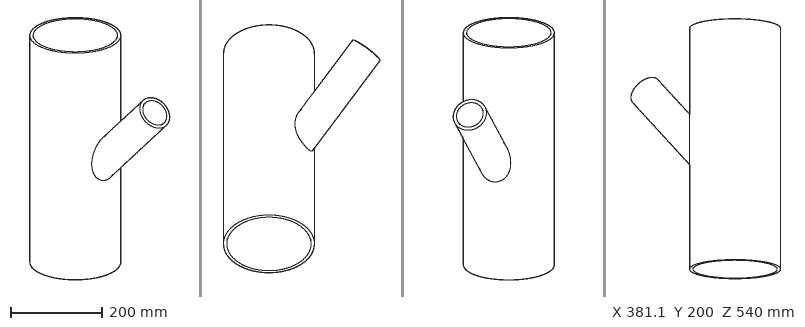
import cadquery as cq

main_length = 540.0
main_diameter = 200.0
main_wall = 7.5

branch_diameter = 75.0
branch_wall = 7.5
branch_length = 360.0
branch_origin_height = 180.0
branch_tilt = 45.0


def main_cylinder(diameter):
    return cq.Workplane("XY").circle(diameter / 2).extrude(main_length)


def branch_cylinder(diameter):
    """Cylinder from the main axis out to the open end of the branch."""
    return (
        cq.Workplane("XY")
        .circle(diameter / 2)
        .extrude(branch_length)
        .rotate((0, 0, 0), (0, 1, 0), branch_tilt)
        .translate((0, 0, branch_origin_height))
    )


outside = main_cylinder(main_diameter).union(branch_cylinder(branch_diameter))
main_bore = main_cylinder(main_diameter - 2 * main_wall)
branch_bore = branch_cylinder(branch_diameter - 2 * branch_wall)

result = outside.cut(main_bore).cut(branch_bore)